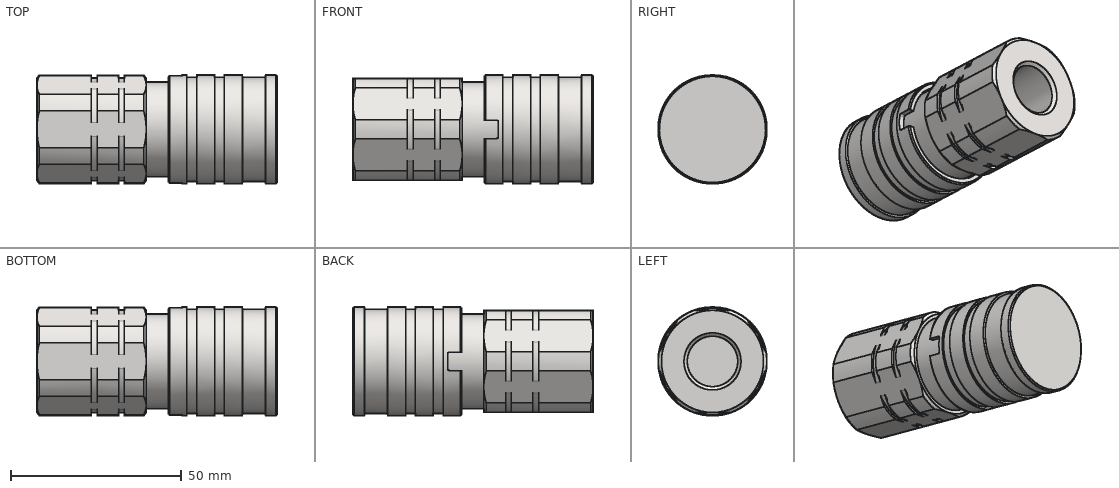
import cadquery as cq
import math

length = 70.5
sleeve_radius = 16.0
relief_radius = 15.4
neck_radius = 13.95

nut_length = 32.1
nut_across_flats = 29.95
nut_corner_radius = 15.9
nut_chamfer_length = 0.7
nut_end_radius = nut_across_flats / 2

groove_floor_rise = 0.15
groove_radius = nut_across_flats / 2 + groove_floor_rise
groove_width = 1.7
groove_starts = [16.0, 24.0]

sleeve_start = 38.55
front_band_end = 44.0
middle_band_start = 46.95
middle_band_end = 52.2
rear_band_start = 54.9
rear_band_end = 60.2
end_collar_start = 67.0
edge_chamfer = 0.4
shoulder_taper = 0.2

clearance_radius = 14.3
clearance_depth = sleeve_start - nut_length

notch_depth = 4.15
notch_width = 5.35
notch_corner_radius = 0.55

bore_radius = 7.4
bore_mouth_radius = 8.4
bore_chamfer = bore_mouth_radius - bore_radius
bore_depth = 19.75

origin = (-length / 2, 0, 0)


def revolve_about_x(profile):
    """Revolve an (x, radius) profile, closed along the axis, around X."""
    start = (profile[0][0], 0)
    end = (profile[-1][0], 0)
    outline = cq.Workplane("XZ").polyline([start] + profile + [end]).close()
    return outline.revolve(360, (0, 0, 0), (1, 0, 0))


def cylinder(start, end, radius):
    return revolve_about_x([(start, radius), (end, radius)])


def make_nut():
    corner_envelope = revolve_about_x([
        (0, nut_end_radius),
        (nut_chamfer_length, nut_corner_radius),
        (nut_length - nut_chamfer_length, nut_corner_radius),
        (nut_length, nut_end_radius),
    ])
    across_corners = nut_across_flats / math.cos(math.pi / 6)
    hexagon = cq.Workplane("YZ").polygon(6, across_corners).extrude(nut_length)
    nut = corner_envelope.intersect(hexagon)
    for start in groove_starts:
        end = start + groove_width
        ring = cylinder(start, end, sleeve_radius).cut(cylinder(start, end, groove_radius))
        nut = nut.cut(ring)
    return nut


def make_sleeve():
    sleeve = revolve_about_x([
        (sleeve_start, sleeve_radius - edge_chamfer),
        (sleeve_start + edge_chamfer, sleeve_radius),
        (front_band_end, sleeve_radius),
        (front_band_end, relief_radius),
        (middle_band_start, relief_radius),
        (middle_band_start, sleeve_radius),
        (middle_band_end, sleeve_radius),
        (middle_band_end, relief_radius),
        (rear_band_start, relief_radius),
        (rear_band_start, sleeve_radius),
        (rear_band_end, sleeve_radius),
        (rear_band_end + shoulder_taper, relief_radius),
        (end_collar_start, relief_radius),
        (end_collar_start + shoulder_taper, sleeve_radius),
        (length - edge_chamfer, sleeve_radius),
        (length, sleeve_radius - edge_chamfer),
    ])
    notches = (
        cq.Workplane("XY")
        .box(notch_depth, 2 * length, notch_width, centered=(False, True, True))
        .edges("|Y and >X")
        .fillet(notch_corner_radius)
        .translate((sleeve_start, 0, 0))
    )
    clearance = cylinder(sleeve_start, sleeve_start + clearance_depth, clearance_radius)
    return sleeve.cut(notches).cut(clearance)


def make_bore():
    return revolve_about_x([
        (0, bore_mouth_radius),
        (bore_chamfer, bore_radius),
        (bore_depth, bore_radius),
    ])


neck = cylinder(nut_length, length, neck_radius)

result = make_nut().union(neck).union(make_sleeve()).cut(make_bore()).translate(origin)